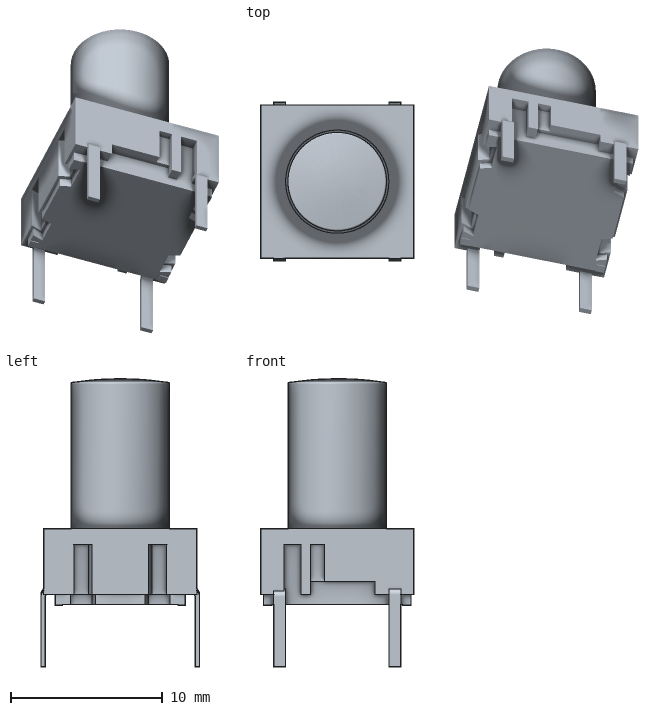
import cadquery as cq


HOUSING_SIDE = 10.1
HOUSING_HEIGHT = 4.35
HALF_SIDE = HOUSING_SIDE / 2

SLOT_TOP = 3.32
SHALLOW_DEPTH = 0.5
DEEP_DEPTH = 0.76
DEEP_SLOT_X = (-3.5, -2.38)
SHALLOW_SLOT_X = (-1.75, -0.85)
RECESS_X = (SHALLOW_SLOT_X[0], 2.49)
RECESS_TOP = 0.87
SIDE_SLOT_INNER_Y = 1.86
SIDE_SLOT_OUTER_Y = 3.05
SIDE_SLOT_DEPTH = 0.72
SIDE_SLOT_SHIFT = 0.23

BASE_INSET = 0.19
BASE_HALF_X = HALF_SIDE - BASE_INSET
BASE_HALF_Y = HALF_SIDE - DEEP_DEPTH
BASE_DROP = 0.65
NOTCH_CLEARANCE = 0.23
NOTCH_OUTER_Y = SIDE_SLOT_OUTER_Y + NOTCH_CLEARANCE
FOOT_DROP = 0.7
FOOT_LENGTH = 0.57
FOOT_WIDTH = 0.5

TOTAL_HEIGHT = 19.0
BUTTON_DIAMETER = 6.5
BUTTON_EDGE_RADIUS = 0.11
DOME_RISE = 0.25
GAP_DIAMETER = 6.8
GAP_DEPTH = HOUSING_HEIGHT - SLOT_TOP

PIN_LENGTH_BELOW = 4.75
PIN_X = 3.8
PIN_WIDTH = 0.8
PIN_THICKNESS = 0.3
PIN_SPAN_Y = 10.47
PIN_OUTER_Y = PIN_SPAN_Y / 2
BEND_DIAMETER = 1.0
BEND_RADIUS = BEND_DIAMETER / 2
LOW_BEND_Z = -0.13
HIGH_BEND_Z = 0.0
PIN_ROOT_Y = 3.42

BUTTON_TOP = TOTAL_HEIGHT - PIN_LENGTH_BELOW


def box(x_range, y_range, z_range):
    """Box between two limits on each axis."""
    size = [high - low for low, high in (x_range, y_range, z_range)]
    corner = (x_range[0], y_range[0], z_range[0])
    return cq.Workplane("XY").box(*size, centered=False).translate(corner)


def on_both_x(shape):
    return shape.union(shape.mirror("YZ"))


def on_both_y(shape):
    return shape.union(shape.mirror("XZ"))


def side_slot(face_x, inner_y, outer_y, bottom, top):
    """Slot into the -X face at face_x; both walls lean outward toward the floor."""
    floor_x = face_x + SIDE_SLOT_DEPTH
    profile = [
        (face_x, inner_y),
        (floor_x, inner_y + SIDE_SLOT_SHIFT),
        (floor_x, outer_y + SIDE_SLOT_SHIFT),
        (face_x, outer_y),
    ]
    slot = cq.Workplane("XY").workplane(offset=bottom).polyline(profile).close().extrude(top - bottom)
    return on_both_x(on_both_y(slot))


def front_cuts():
    """Two slots and a low recess in the -Y wall, repeated in the +Y wall."""
    deep_y = (-HALF_SIDE, -HALF_SIDE + DEEP_DEPTH)
    shallow_y = (-HALF_SIDE, -HALF_SIDE + SHALLOW_DEPTH)
    cuts = box(DEEP_SLOT_X, deep_y, (0, SLOT_TOP))
    cuts = cuts.union(box(SHALLOW_SLOT_X, shallow_y, (0, SLOT_TOP)))
    cuts = cuts.union(box(RECESS_X, deep_y, (0, RECESS_TOP)))
    return on_both_y(cuts)


def housing():
    body = box((-HALF_SIDE, HALF_SIDE), (-HALF_SIDE, HALF_SIDE), (0, HOUSING_HEIGHT))
    body = body.cut(side_slot(-HALF_SIDE, SIDE_SLOT_INNER_Y, SIDE_SLOT_OUTER_Y, 0, SLOT_TOP))
    body = body.cut(front_cuts())
    gap = cq.Workplane("XY").workplane(offset=HOUSING_HEIGHT - GAP_DEPTH)
    return body.cut(gap.circle(GAP_DIAMETER / 2).extrude(GAP_DEPTH))


def base():
    """Plate with a foot in each corner, notched in line with the side slots of the housing."""
    plate = box((-BASE_HALF_X, BASE_HALF_X), (-BASE_HALF_Y, BASE_HALF_Y), (-BASE_DROP, 0))
    foot = box(
        (-BASE_HALF_X, -BASE_HALF_X + FOOT_LENGTH),
        (-BASE_HALF_Y, -BASE_HALF_Y + FOOT_WIDTH),
        (-FOOT_DROP, 0),
    )
    notch_inner_y = SIDE_SLOT_INNER_Y - NOTCH_CLEARANCE
    notches = side_slot(-BASE_HALF_X, notch_inner_y, NOTCH_OUTER_Y, -BASE_DROP, 0)
    return plate.union(on_both_x(on_both_y(foot))).cut(notches)


def button():
    """Round button with a rounded rim and a shallow dome, as a revolved half profile."""
    radius = BUTTON_DIAMETER / 2
    dome_edge_radius = radius - BUTTON_EDGE_RADIUS
    rim_z = BUTTON_TOP - DOME_RISE
    bottom_z = HOUSING_HEIGHT - GAP_DEPTH
    sphere_radius = (dome_edge_radius**2 + DOME_RISE**2) / (2 * DOME_RISE)
    profile = (
        cq.Workplane("XZ")
        .moveTo(0, bottom_z)
        .lineTo(radius, bottom_z)
        .lineTo(radius, rim_z - BUTTON_EDGE_RADIUS)
        .radiusArc((dome_edge_radius, rim_z), -BUTTON_EDGE_RADIUS)
        .radiusArc((0, BUTTON_TOP), -sphere_radius)
        .close()
    )
    return profile.revolve(360, (0, 0, 0), (0, 1, 0))


def pin(center_x, bend_z):
    """L-shaped pin on the -Y side; bend_z is the height of the bend centre."""
    inner_radius = BEND_RADIUS - PIN_THICKNESS
    bend_y = -PIN_OUTER_Y + BEND_RADIUS
    shape = (
        cq.Workplane("YZ")
        .moveTo(-PIN_OUTER_Y, -PIN_LENGTH_BELOW)
        .lineTo(-PIN_OUTER_Y, bend_z)
        .radiusArc((bend_y, bend_z + BEND_RADIUS), BEND_RADIUS)
        .lineTo(-PIN_ROOT_Y, bend_z + BEND_RADIUS)
        .lineTo(-PIN_ROOT_Y, bend_z + inner_radius)
        .lineTo(bend_y, bend_z + inner_radius)
        .radiusArc((bend_y - inner_radius, bend_z), -inner_radius)
        .lineTo(bend_y - inner_radius, -PIN_LENGTH_BELOW)
        .close()
        .extrude(PIN_WIDTH / 2, both=True)
    )
    return shape.translate((center_x, 0, 0))


pins = on_both_y(pin(-PIN_X, LOW_BEND_Z).union(pin(PIN_X, HIGH_BEND_Z)))
result = housing().union(base()).union(button()).union(pins)